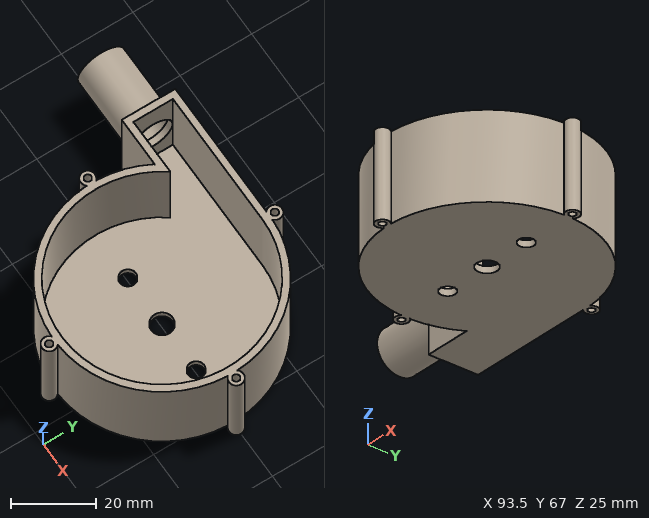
import cadquery as cq

overall_length = 93.5
height = 25.0
wall = 2.0
floor_thickness = 2.0
outer_diameter = 60.0

channel_width = 15.0

pipe_length = 20.0
pipe_diameter = 13.3
pipe_bore = 10.75

post_count = 4
post_diameter = 4.0
post_bore = 2.0
post_radius = 31.5

shaft_hole = 6.0
mount_hole = 4.5
mount_spacing = 29.0

channel_reach = overall_length - post_radius - post_diameter / 2 - pipe_length
outer_radius = outer_diameter / 2
pipe_y = outer_radius - channel_width / 2
pipe_z = height / 2


def scroll(inset, bottom):
    """Round chamber with its tangent channel, shrunk by inset, from bottom to the top."""
    depth = height - bottom
    radius = outer_radius - inset
    chamber = cq.Workplane("XY").workplane(offset=bottom).circle(radius).extrude(depth)
    length = channel_reach - inset
    width = channel_width - 2 * inset
    channel = (
        cq.Workplane("XY")
        .box(length, width, depth, centered=(False, True, False))
        .translate((-length, pipe_y, bottom))
    )
    return chamber.union(channel)


def at_posts():
    """Workplane with a point on the axis of each screw post."""
    return cq.Workplane("XY").polarArray(post_radius, 0, 360, post_count)


def along_pipe(diameter, start_x, length):
    """Cylinder on the pipe axis, running toward +X from start_x."""
    return (
        cq.Workplane("YZ", origin=(start_x, pipe_y, pipe_z))
        .circle(diameter / 2)
        .extrude(length)
    )


def make_housing():
    posts = at_posts().circle(post_diameter / 2).extrude(height)
    body = scroll(0, 0).union(posts)

    body = body.cut(scroll(wall, floor_thickness))

    body = body.cut(at_posts().circle(post_bore / 2).extrude(height))

    shaft = cq.Workplane("XY").circle(shaft_hole / 2).extrude(floor_thickness)
    mounts = (
        cq.Workplane("XY")
        .rarray(mount_spacing, 0.9, 2, 1)
        .circle(mount_hole / 2)
        .extrude(floor_thickness)
    )
    body = body.cut(shaft).cut(mounts)

    return body.cut(along_pipe(pipe_bore, -channel_reach, wall))


def make_pipe():
    start_x = -channel_reach - pipe_length
    outside = along_pipe(pipe_diameter, start_x, pipe_length)
    return outside.cut(along_pipe(pipe_bore, start_x, pipe_length))


housing = make_housing()
pipe = make_pipe()

result = cq.Compound.makeCompound([*housing.solids().vals(), *pipe.solids().vals()])